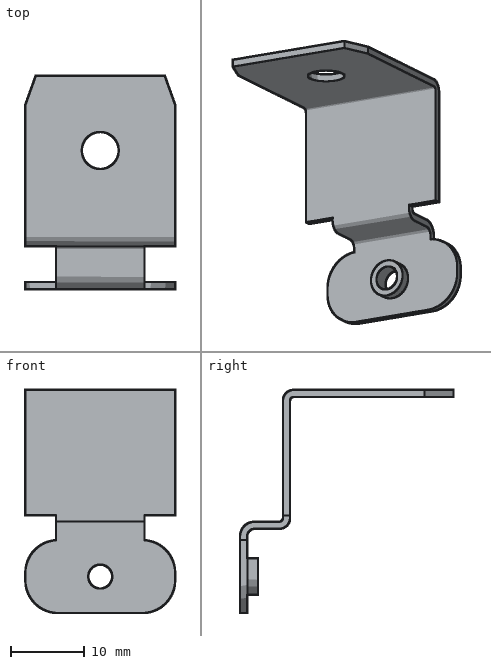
import cadquery as cq

width = 20.5
depth = 29.15
height = 30.5
sheet = 1.0

tight_inner_radius = 0.5
wide_inner_radius = 1.0
tight_outer_radius = tight_inner_radius + sheet
wide_outer_radius = wide_inner_radius + sheet

wall_front = 5.85
wall_back = wall_front + sheet
shelf_top = 12.5
shelf_bottom = shelf_top - sheet
wall_bottom = 13.35
neck_width = 12.08

corner_cut_x = 1.43
corner_cut_y = 4.0
top_hole_diameter = 5.0
top_hole_from_back = 10.22

pad_height = 10.0
pad_corner_radius = 4.5
boss_diameter = 5.0
boss_length = 1.5
bore_diameter = 3.23
bore_z = pad_height / 2


def bent_sheet():
    """Full-width sheet following the side profile from top plate to lower pad."""
    profile = (
        cq.Workplane("YZ")
        .moveTo(depth, height)
        .lineTo(wall_front + tight_outer_radius, height)
        .radiusArc((wall_front, height - tight_outer_radius), -tight_outer_radius)
        .lineTo(wall_front, shelf_top + tight_inner_radius)
        .radiusArc((wall_front - tight_inner_radius, shelf_top), tight_inner_radius)
        .lineTo(wide_outer_radius, shelf_top)
        .radiusArc((0, shelf_top - wide_outer_radius), -wide_outer_radius)
        .lineTo(0, 0)
        .lineTo(sheet, 0)
        .lineTo(sheet, shelf_bottom - wide_inner_radius)
        .radiusArc((wide_outer_radius, shelf_bottom), wide_inner_radius)
        .lineTo(wall_back - tight_outer_radius, shelf_bottom)
        .radiusArc((wall_back, shelf_bottom + tight_outer_radius), -tight_outer_radius)
        .lineTo(wall_back, height - sheet - tight_inner_radius)
        .radiusArc((wall_back + tight_inner_radius, height - sheet), tight_inner_radius)
        .lineTo(depth, height - sheet)
        .close()
    )
    return profile.extrude(width / 2, both=True)


def front_outline():
    """Solid running along Y whose outline is the wall, neck and pad seen from the front."""
    wall = cq.Workplane("XY").box(
        width, depth, height - wall_bottom, centered=(True, False, False)
    ).translate((0, 0, wall_bottom))
    neck = cq.Workplane("XY").box(
        neck_width, depth, wall_bottom - bore_z, centered=(True, False, False)
    ).translate((0, 0, bore_z))
    pad = (
        cq.Workplane("XY")
        .box(width, depth, pad_height, centered=(True, False, False))
        .edges("|Y")
        .fillet(pad_corner_radius)
    )
    return wall.union(neck).union(pad)


def corner_cut(side):
    """Triangular prism removing one back corner of the top plate."""
    edge = side * width / 2
    return (
        cq.Workplane("XY")
        .moveTo(edge, depth)
        .lineTo(edge - side * corner_cut_x, depth)
        .lineTo(edge, depth - corner_cut_y)
        .close()
        .extrude(height)
    )


def pad_cylinder(diameter, length):
    """Cylinder on the boss axis, starting at the pad's front face and running toward +Y."""
    return (
        cq.Workplane("XZ")
        .center(0, bore_z)
        .circle(diameter / 2)
        .extrude(-length)
    )


top_hole = (
    cq.Workplane("XY")
    .center(0, depth - top_hole_from_back)
    .circle(top_hole_diameter / 2)
    .extrude(height)
)

bracket = bent_sheet().intersect(front_outline())
for side in (-1, 1):
    bracket = bracket.cut(corner_cut(side))
bracket = bracket.cut(top_hole)

boss_end = sheet + boss_length
boss = pad_cylinder(boss_diameter, boss_end)
result = bracket.union(boss).cut(pad_cylinder(bore_diameter, boss_end))